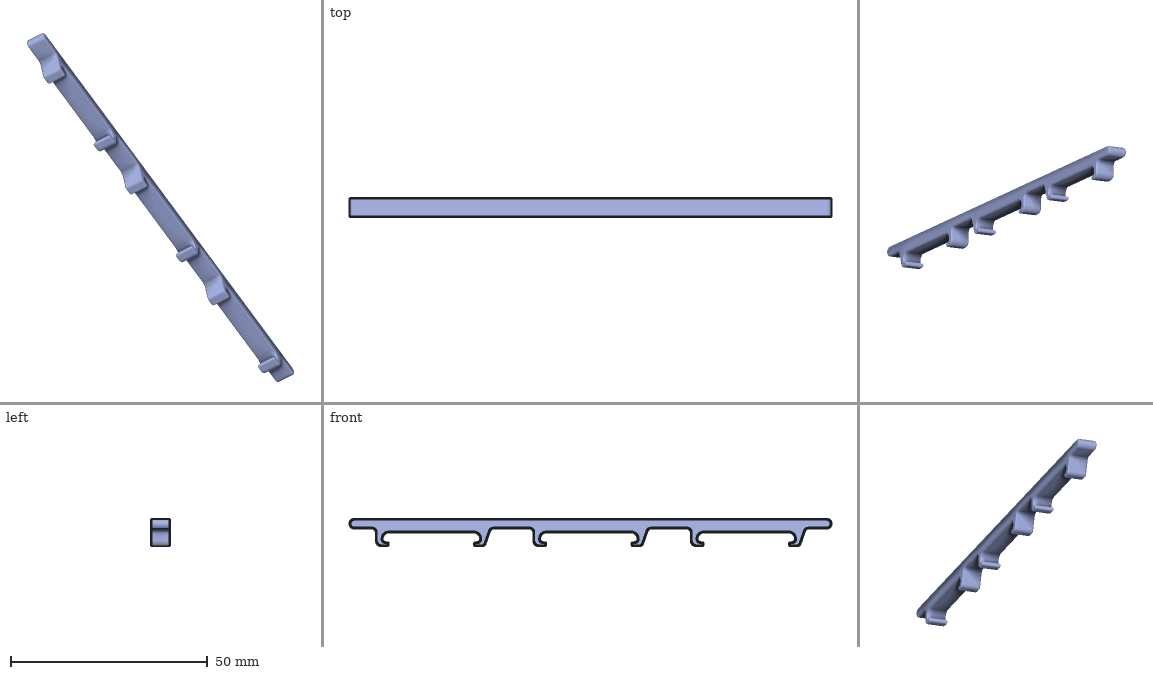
import cadquery as cq
import math

LENGTH = 122.5
WIDTH = 5.0
HEIGHT = 7.0
BAR_THICKNESS = 2.5
RIM_CHAMFER = 0.29

MODULE_COUNT = 3
MODULE_PITCH = 40.0
FIRST_MODULE_OFFSET = 6.7
PAD_THICKNESS = 3.5
LEG_THICKNESS = 1.75
NOTCH_SPAN = 24.75
LIP_REACH = 1.55
LIP_THICKNESS = 1.1
SLOPED_LEG_TOP = 2.75
SLOPE_ANGLE = 19.0

ROOT_RADIUS = 1.0
HEEL_RADIUS = 1.5
SLOPED_HEEL_RADIUS = 1.0
NOTCH_RADIUS = 1.6
LIP_ROOT_RADIUS = 0.75
LIP_TIP_RADIUS = 0.45

TOP_Z = HEIGHT / 2
BOTTOM_Z = -HEIGHT / 2
BAR_BOTTOM_Z = TOP_Z - BAR_THICKNESS
BAR_MID_Z = TOP_Z - BAR_THICKNESS / 2
PAD_BOTTOM_Z = TOP_Z - PAD_THICKNESS
LIP_TOP_Z = BOTTOM_Z + LIP_THICKNESS
FIRST_MODULE_X = -LENGTH / 2 + FIRST_MODULE_OFFSET


def side_plane():
    """XZ sketch plane on the +Y side; extruding runs toward -Y."""
    return cq.Workplane("XZ", origin=(0, WIDTH / 2, 0))


def make_bar():
    """Flat bar with fully rounded ends."""
    return side_plane().center(0, BAR_MID_Z).slot2D(LENGTH, BAR_THICKNESS).extrude(WIDTH)


def module_corners(outer_x):
    """Corners (x, z, radius) below the bar, from the upright leg at outer_x to the sloped leg."""
    left_wall = outer_x + LEG_THICKNESS
    left_tip = left_wall + LIP_REACH
    right_wall = left_wall + NOTCH_SPAN
    right_tip = right_wall - LIP_REACH
    slope_top = right_wall + SLOPED_LEG_TOP
    slope_run = (BAR_BOTTOM_Z - BOTTOM_Z) * math.tan(math.radians(SLOPE_ANGLE))
    upright_leg = [
        (outer_x, BAR_BOTTOM_Z, ROOT_RADIUS),
        (outer_x, BOTTOM_Z, HEEL_RADIUS),
        (left_tip, BOTTOM_Z, LIP_TIP_RADIUS),
        (left_tip, LIP_TOP_Z, LIP_TIP_RADIUS),
        (left_wall, LIP_TOP_Z, LIP_ROOT_RADIUS),
        (left_wall, PAD_BOTTOM_Z, NOTCH_RADIUS),
    ]
    sloped_leg = [
        (right_wall, PAD_BOTTOM_Z, NOTCH_RADIUS),
        (right_wall, LIP_TOP_Z, LIP_ROOT_RADIUS),
        (right_tip, LIP_TOP_Z, LIP_TIP_RADIUS),
        (right_tip, BOTTOM_Z, LIP_TIP_RADIUS),
        (slope_top - slope_run, BOTTOM_Z, SLOPED_HEEL_RADIUS),
        (slope_top, BAR_BOTTOM_Z, ROOT_RADIUS),
    ]
    return upright_leg + sloped_leg


def add_module(body, outer_x):
    """Join one pad with its two hooked legs to the bar and round its corners."""
    corners = module_corners(outer_x)
    outline = [(x, z) for x, z, _ in corners]
    right_x = outline[-1][0]
    outline += [(right_x, BAR_MID_Z), (outer_x, BAR_MID_Z)]
    body = body.union(side_plane().polyline(outline).close().extrude(WIDTH))
    for x, z, radius in corners:
        at_corner = cq.selectors.NearestToPointSelector((x, 0, z))
        body = body.edges("|Y").edges(at_corner).fillet(radius)
    return body


def chamfer_side_rims(body):
    """Chamfer the whole outline of both long side faces."""
    return body.faces("<Y or >Y").edges().chamfer(RIM_CHAMFER)


bar = make_bar()
for index in range(MODULE_COUNT):
    bar = add_module(bar, FIRST_MODULE_X + index * MODULE_PITCH)
result = chamfer_side_rims(bar)